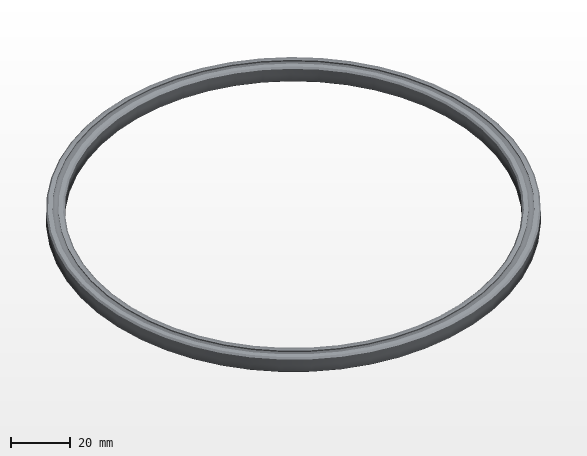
import cadquery as cq

outer_diameter = 165.1
ring_width = 6.3
ring_height = 6.3
edge_chamfer = 0.6
groove_width = 2.0
groove_depth = 0.6

outer_radius = outer_diameter / 2
inner_radius = outer_radius - ring_width
middle_radius = outer_radius - ring_width / 2


def annulus(outer, inner, height):
    """Flat ring standing on the XY plane, centred on the Z axis."""
    return cq.Workplane("XY").circle(outer).circle(inner).extrude(height)


ring = annulus(outer_radius, inner_radius, ring_height).edges("%CIRCLE").chamfer(edge_chamfer)

groove = annulus(
    middle_radius + groove_width / 2,
    middle_radius - groove_width / 2,
    groove_depth,
).translate((0, 0, ring_height - groove_depth))

result = ring.cut(groove)